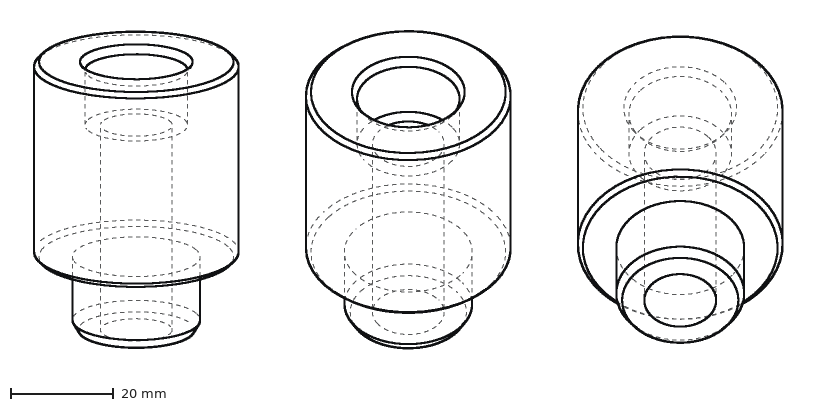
import cadquery as cq
import math

total_height = 55.0
body_diameter = 40.0
body_height = 40.0
body_chamfer = 1.0
spigot_diameter = 24.95
spigot_lead_height = 2.0
spigot_lead_angle = 30.0
bore_diameter = 20.0
bore_depth = 13.0
bore_chamfer_width = 1.0
bore_chamfer_angle = 30.0
through_diameter = 14.0

body_radius = body_diameter / 2
spigot_radius = spigot_diameter / 2
bore_radius = bore_diameter / 2
through_radius = through_diameter / 2
shoulder_z = total_height - body_height
bore_floor_z = total_height - bore_depth
spigot_lead_width = spigot_lead_height * math.tan(math.radians(spigot_lead_angle))
bore_chamfer_depth = bore_chamfer_width / math.tan(math.radians(bore_chamfer_angle))

half_section = [
    (through_radius, 0),
    (spigot_radius - spigot_lead_width, 0),
    (spigot_radius, spigot_lead_height),
    (spigot_radius, shoulder_z),
    (body_radius - body_chamfer, shoulder_z),
    (body_radius, shoulder_z + body_chamfer),
    (body_radius, total_height - body_chamfer),
    (body_radius - body_chamfer, total_height),
    (bore_radius + bore_chamfer_width, total_height),
    (bore_radius, total_height - bore_chamfer_depth),
    (bore_radius, bore_floor_z),
    (through_radius, bore_floor_z),
]

result = (
    cq.Workplane("XZ")
    .polyline(half_section)
    .close()
    .revolve(360, (0, 0, 0), (0, 1, 0))
)